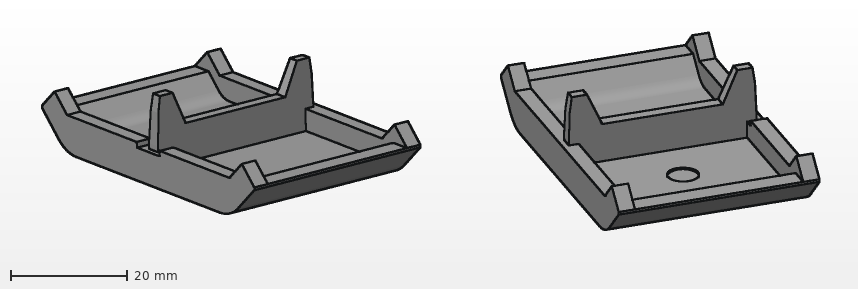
import cadquery as cq
import math

LENGTH = 57.8
WIDTH = 36.96
WALL = 3.0
RAIL_HEIGHT = 7.0
HORN_RISE = 3.4
LIP_FACE = 0.5
INNER_BEND_RADIUS = 4.0
OUTER_BEND_RADIUS = INNER_BEND_RADIUS + WALL

TOTAL_HEIGHT = 16.0
RIB_THICKNESS = 2.5
RIB_DRAFT = 2.0
RIB_TOP = 10.0
POST_END_INSET = 1.2
POST_BREAK_HEIGHT = 13.0
POST_TIP_INSET = 1.85
POST_TIP_LENGTH = 2.8
POST_FOOT_INSET = 7.4

NOTCH_BOTTOM_WIDTH = 6.0
NOTCH_TOP_WIDTH = 6.3
NOTCH_DEPTH = 1.0

RECESS_DIAMETER = 5.5
RECESS_DEPTH = 0.3
RECESS_X = -11.2

HALF_LENGTH = LENGTH / 2
HALF_WIDTH = WIDTH / 2
POCKET_WIDTH = WIDTH - 2 * WALL
LIP_BOTTOM = RAIL_HEIGHT - LIP_FACE


def prism_along_y(points, width):
    """Closed XZ outline extruded symmetrically about Y = 0."""
    return cq.Workplane("XZ").polyline(points).close().extrude(width / 2, both=True)


def mirrored(right_points):
    """Outline points completed with their mirror images about the vertical axis."""
    return right_points + [(-u, z) for u, z in reversed(right_points)]


def make_body():
    outline = mirrored([
        (HALF_LENGTH - LIP_BOTTOM, 0),
        (HALF_LENGTH, LIP_BOTTOM),
        (HALF_LENGTH, RAIL_HEIGHT),
        (HALF_LENGTH - HORN_RISE, RAIL_HEIGHT + HORN_RISE),
        (HALF_LENGTH - 2 * HORN_RISE, RAIL_HEIGHT),
    ])
    body = prism_along_y(outline, WIDTH)
    return body.edges("|Y and <Z").fillet(OUTER_BEND_RADIUS)


def make_pocket():
    slope_top = HALF_LENGTH - LIP_BOTTOM + RAIL_HEIGHT - WALL * math.sqrt(2)
    slope_foot = slope_top - (RAIL_HEIGHT - WALL)
    basin = prism_along_y(mirrored([(slope_foot, WALL), (slope_top, RAIL_HEIGHT)]), POCKET_WIDTH)
    basin = basin.edges("|Y and <Z").fillet(INNER_BEND_RADIUS)
    between_horns = cq.Workplane("XY", origin=(0, 0, RAIL_HEIGHT)).box(
        LENGTH, POCKET_WIDTH, HORN_RISE, centered=(True, True, False)
    )
    return basin.union(between_horns)


def make_notch():
    notch = prism_along_y(
        mirrored([
            (NOTCH_BOTTOM_WIDTH / 2, RAIL_HEIGHT - NOTCH_DEPTH),
            (NOTCH_TOP_WIDTH / 2, RAIL_HEIGHT),
        ]),
        WALL,
    )
    return notch.translate((0, -HALF_WIDTH + WALL / 2, 0))


def make_recess():
    return (
        cq.Workplane("XY", origin=(RECESS_X, 0, WALL - RECESS_DEPTH))
        .circle(RECESS_DIAMETER / 2)
        .extrude(RECESS_DEPTH)
    )


def make_rib():
    draft_slope = math.tan(math.radians(RIB_DRAFT))
    half_base = RIB_THICKNESS / 2 + (RAIL_HEIGHT - WALL) * draft_slope
    half_top = RIB_THICKNESS / 2 - (TOTAL_HEIGHT - RAIL_HEIGHT) * draft_slope
    thickness_profile = prism_along_y(
        mirrored([(half_base, WALL), (half_top, TOTAL_HEIGHT)]),
        WIDTH,
    )

    post_end = HALF_WIDTH - POST_END_INSET
    post_break = post_end - (POST_BREAK_HEIGHT - RAIL_HEIGHT) * draft_slope
    post_tip = HALF_WIDTH - POST_TIP_INSET
    side_outline = mirrored([
        (post_end, WALL),
        (post_end, RAIL_HEIGHT),
        (post_break, POST_BREAK_HEIGHT),
        (post_tip, TOTAL_HEIGHT),
        (post_tip - POST_TIP_LENGTH, TOTAL_HEIGHT),
        (HALF_WIDTH - POST_FOOT_INSET, RIB_TOP),
    ])
    side_profile = (
        cq.Workplane("YZ").polyline(side_outline).close().extrude(half_base, both=True)
    )
    return thickness_profile.intersect(side_profile)


tray = make_body().cut(make_pocket()).cut(make_notch()).cut(make_recess())
result = tray.union(make_rib())